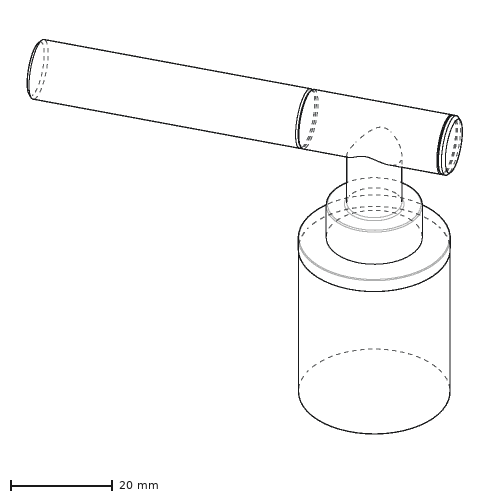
import cadquery as cq

body_diameter = 29.95
body_height = 34.0
cap_ring_diameter = 30.0
cap_ring_top = 36.75
cap_ring_fillet = 0.2
collar_diameter = 19.0
collar_top = 44.7
collar_fillet = 0.3
stem_diameter = 10.9
stem_root_fillet = 0.4

overall_height = 68.0
bar_length = 87.1
bar_diameter = 12.0
bar_radius = bar_diameter / 2
bar_axis_z = overall_height - bar_radius
bar_left = -70.4
bar_right = bar_left + bar_length
bar_edge_chamfer = 0.6

joint_x = -13.9
grip_chamfer = 0.4
head_chamfer = 0.3
end_groove_x = 15.15
end_groove_chamfer = 0.2
end_dome_height = 0.2


def cylinder(diameter, bottom, top):
    """Upright cylinder on the Z axis."""
    return cq.Workplane("XY", origin=(0, 0, bottom)).circle(diameter / 2).extrude(top - bottom)


def add_groove(profile, x, left_chamfer, right_chamfer):
    """Continue a bar profile along the surface and through a groove of two 45 degree chamfers at x."""
    profile = profile.lineTo(x - left_chamfer, bar_radius).lineTo(x, bar_radius - left_chamfer)
    if left_chamfer != right_chamfer:
        profile = profile.lineTo(x, bar_radius - right_chamfer)
    return profile.lineTo(x + right_chamfer, bar_radius)


def make_body():
    """Stepped round body: base, cap ring and collar."""
    base = cylinder(body_diameter, 0, body_height)
    cap_ring = cylinder(cap_ring_diameter, body_height, cap_ring_top)
    cap_ring = cap_ring.faces(">Z").edges().fillet(cap_ring_fillet)
    collar = cylinder(collar_diameter, cap_ring_top, collar_top)
    collar = collar.faces(">Z").edges().fillet(collar_fillet)
    return base.union(cap_ring).union(collar)


def make_stem():
    """Stem from the collar up to the bar axis, flared by a concave fillet at its foot."""
    stem_radius = stem_diameter / 2
    arc_centre_r = stem_radius + stem_root_fillet
    arc_centre_z = collar_top + stem_root_fillet
    return (
        cq.Workplane("XZ")
        .moveTo(0, collar_top)
        .lineTo(arc_centre_r, collar_top)
        .radiusArc((stem_radius, arc_centre_z), stem_root_fillet)
        .lineTo(stem_radius, bar_axis_z)
        .lineTo(0, bar_axis_z)
        .close()
        .revolve(360, (0, 0, 0), (0, 1, 0))
    )


def make_bar():
    """Round handle bar, revolved about its own axis."""
    rim_x = bar_right - end_dome_height
    rim_radius = bar_radius - bar_edge_chamfer
    dome_radius = (rim_radius**2 + end_dome_height**2) / (2 * end_dome_height)
    profile = (
        cq.Workplane("XZ", origin=(0, 0, bar_axis_z))
        .moveTo(bar_left, 0)
        .lineTo(bar_left, bar_radius - bar_edge_chamfer)
        .lineTo(bar_left + bar_edge_chamfer, bar_radius)
    )
    profile = add_groove(profile, joint_x, grip_chamfer, head_chamfer)
    profile = add_groove(profile, end_groove_x, end_groove_chamfer, end_groove_chamfer)
    return (
        profile.lineTo(rim_x - bar_edge_chamfer, bar_radius)
        .lineTo(rim_x, rim_radius)
        .radiusArc((bar_right, 0), dome_radius)
        .close()
        .revolve(360, (0, 0, 0), (1, 0, 0))
    )


result = make_body().union(make_stem()).union(make_bar())